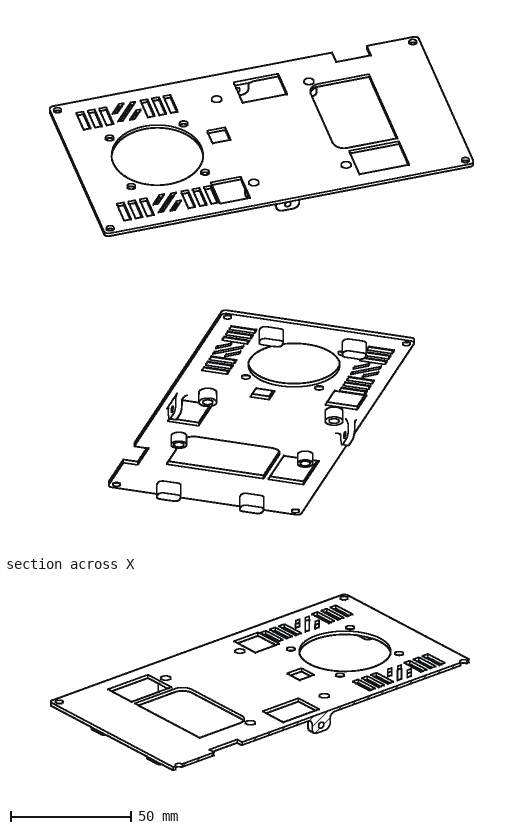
import cadquery as cq
import math

plate_width = 84.0
plate_length = 160.0
plate_thickness = 1.6
plate_corner_radius = 2.0
overall_height = 8.6

corner_hole_diameter = 3.2
corner_hole_inset = 3.0

fan_center_y = -45.1
fan_opening_diameter = 38.0
fan_hole_diameter = 3.5
fan_hole_spacing = 32.0

boss_hole_diameter = 4.2
boss_left_x = -27.0
boss_right_x = 28.0
rear_boss_y = 28.5
rear_boss_diameter = 6.4
rear_boss_height = 4.2
front_boss_y = -11.5
front_boss_diameter = 7.4
front_boss_height = 4.6

block_width = 10.0
block_depth = 5.8
block_height = 5.6
block_corner_radius = 2.0
block_x = 18.0
block_y = 71.0

tab_length = 10.0
tab_thickness = 2.7
tab_height = overall_height - plate_thickness
tab_edge_inset = 3.0
tab_corner_radius = 2.9
tab_root_radius = 2.0
tab_hole_diameter = 2.5
tab_hole_drop = 4.0

display_opening = (-24.5, 17.8, 27.0, 53.8)
display_corner_radius = 5.0
rear_right_opening = (19.8, 35.2, 32.2, 53.8)
left_opening = (-35.4, -22.0, -1.8, 17.6)
small_opening = (-9.0, -0.8, -21.0, -13.1)
right_opening = (22.9, 36.8, -28.6, -15.7)

notch_depth = 6.2
notch_y_min = 42.9
notch_y_max = 58.0

left_vent_x = -29.6
vent_spacing = 60.0
vent_center_y = -49.6
vent_slot_length = 11.0
vent_slot_width = 3.0
vent_slot_pitch = 5.0
vent_slots_per_bank = 3
vent_inner_slot_offset = 9.0

slant_shift_x = -0.5
slant_angle = 40.0
slant_slot_rise = 2.0
slant_long_run = 10.0
slant_short_run = 5.1
slant_slot_offset = 2.9


def grid(x, y):
    """Four points mirrored about both axes."""
    return [(sx * x, sy * y) for sx in (-1, 1) for sy in (-1, 1)]


def through_holes(points, diameter):
    """Vertical cylinders passing through the plate and anything below it."""
    cutter = cq.Workplane("XY").workplane(offset=plate_thickness).pushPoints(points)
    return cutter.circle(diameter / 2).extrude(-overall_height)


def opening(x_min, x_max, y_min, y_max):
    """Rectangular cutter through the plate and the tab blend below it."""
    cutter = cq.Workplane("XY").workplane(offset=plate_thickness)
    cutter = cutter.center((x_min + x_max) / 2, (y_min + y_max) / 2)
    return cutter.rect(x_max - x_min, y_max - y_min).extrude(-overall_height)


def bosses(y, diameter, height):
    """Left and right round bosses hanging below the plate."""
    points = [(boss_left_x, y), (boss_right_x, y)]
    return cq.Workplane("XY").pushPoints(points).circle(diameter / 2).extrude(-height)


def slanted_slot(x, y, run):
    """Parallelogram cutter with vertical ends, falling towards +X."""
    half_run = run / 2
    half_drop = half_run * math.tan(math.radians(slant_angle))
    half_rise = slant_slot_rise / 2
    corners = [
        (x - half_run, y + half_drop + half_rise),
        (x + half_run, y - half_drop + half_rise),
        (x + half_run, y - half_drop - half_rise),
        (x - half_run, y + half_drop - half_rise),
    ]
    return cq.Workplane("XY").polyline(corners).close().extrude(plate_thickness)


def vent(x):
    """All slots of one vent, as a single cutter."""
    slot_points = [
        (x, vent_center_y + side * (vent_inner_slot_offset + i * vent_slot_pitch))
        for side in (-1, 1)
        for i in range(vent_slots_per_bank)
    ]
    cutter = cq.Workplane("XY").pushPoints(slot_points).rect(vent_slot_length, vent_slot_width)
    cutter = cutter.extrude(plate_thickness)

    slant_x = x + slant_shift_x
    cutter = cutter.union(slanted_slot(slant_x, vent_center_y, slant_long_run))
    for side in (-1, 1):
        shift = side * slant_slot_offset
        cutter = cutter.union(slanted_slot(slant_x + shift, vent_center_y + shift, slant_short_run))
    return cutter


def add_tab(body, side):
    """Add the tab on the -X (side = -1) or +X (side = 1) edge, blended into the plate."""
    outer_x = side * (plate_width / 2 - tab_edge_inset)
    inner_x = outer_x - side * tab_thickness
    mid_x = (outer_x + inner_x) / 2

    tab = cq.Workplane("XY").box(tab_thickness, tab_length, tab_height, centered=(True, True, False))
    tab = tab.edges("|X and <Z").fillet(tab_corner_radius)
    body = body.union(tab.translate((mid_x, 0, -tab_height)))

    inner_root = cq.selectors.NearestToPointSelector((inner_x, 0, 0))
    end_roots = [cq.selectors.NearestToPointSelector((mid_x, s * tab_length / 2, 0)) for s in (-1, 1)]
    body = body.edges(inner_root + end_roots[0] + end_roots[1]).fillet(tab_root_radius)

    hole = cq.Workplane("YZ").center(0, -tab_hole_drop).circle(tab_hole_diameter / 2)
    hole = hole.extrude(plate_width / 2, both=True)
    return body.cut(hole)


result = cq.Workplane("XY").rect(plate_width, plate_length).extrude(plate_thickness)
result = result.edges("|Z").fillet(plate_corner_radius)
for tab_side in (-1, 1):
    result = add_tab(result, tab_side)

result = result.union(bosses(rear_boss_y, rear_boss_diameter, rear_boss_height))
result = result.union(bosses(front_boss_y, front_boss_diameter, front_boss_height))
blocks = cq.Workplane("XY").pushPoints(grid(block_x, block_y)).rect(block_width, block_depth)
blocks = blocks.extrude(-block_height).edges("|Z").fillet(block_corner_radius)
result = result.union(blocks)

corner_points = grid(plate_width / 2 - corner_hole_inset, plate_length / 2 - corner_hole_inset)
result = result.cut(through_holes(corner_points, corner_hole_diameter))
boss_points = [(x, y) for x in (boss_left_x, boss_right_x) for y in (front_boss_y, rear_boss_y)]
result = result.cut(through_holes(boss_points, boss_hole_diameter))
fan_points = [(x, fan_center_y + y) for x, y in grid(fan_hole_spacing / 2, fan_hole_spacing / 2)]
result = result.cut(through_holes(fan_points, fan_hole_diameter))
result = result.cut(through_holes([(0, fan_center_y)], fan_opening_diameter))

result = result.cut(opening(*display_opening).edges("|Z and <Y").fillet(display_corner_radius))
for bounds in (rear_right_opening, left_opening, small_opening, right_opening):
    result = result.cut(opening(*bounds))
left_edge = -plate_width / 2
result = result.cut(opening(left_edge, left_edge + notch_depth, notch_y_min, notch_y_max))

for vent_x in (left_vent_x, left_vent_x + vent_spacing):
    result = result.cut(vent(vent_x))